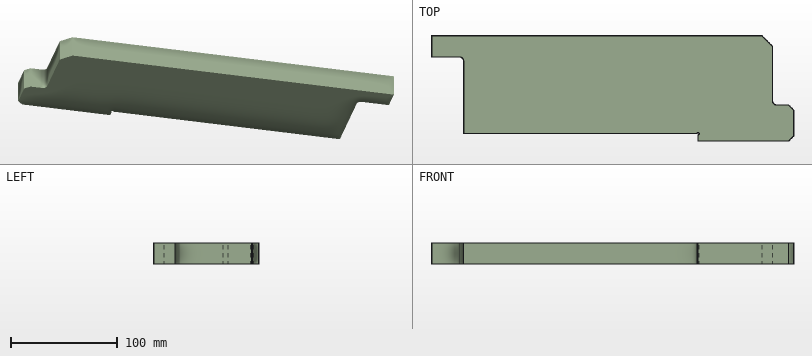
import cadquery as cq

length = 340.0
width = 99.0
thickness = 20.0

tongue_length = 30.0
tongue_width = 20.0

tab_length = 20.0
tab_width = 34.0
tab_chamfer = 5.0

pad_length = 90.0
pad_height = 7.0
relief_radius = 1.0

body_chamfer = 10.0
inner_corner_radius = 4.0

body_left = tongue_length
body_right = length - tab_length
tongue_front = width - tongue_width
pad_left = length - pad_length


def vertical_edge(solid, x, y):
    """Select the upright edge that passes through (x, y)."""
    return solid.edges(cq.selectors.NearestToPointSelector((x, y, thickness / 2)))


def make_plate():
    """Stepped plate with sharp corners."""
    outline = [
        (0, width),
        (0, tongue_front),
        (body_left, tongue_front),
        (body_left, pad_height),
        (pad_left, pad_height),
        (pad_left, 0),
        (length, 0),
        (length, tab_width),
        (body_right, tab_width),
        (body_right, width),
    ]
    return cq.Workplane("XY").polyline(outline).close().extrude(thickness)


def round_inner_corners(solid):
    """Fillet the inner corners beside the tongue and the tab."""
    for x, y in [(body_left, tongue_front), (body_right, tab_width)]:
        solid = vertical_edge(solid, x, y).fillet(inner_corner_radius)
    return solid


def chamfer_outer_corners(solid):
    """Bevel the back right corner of the body and both corners of the tab."""
    solid = vertical_edge(solid, body_right, width).chamfer(body_chamfer)
    for y in [0, tab_width]:
        solid = vertical_edge(solid, length, y).chamfer(tab_chamfer)
    return solid


def cut_corner_relief(solid):
    """Cut a round relief through the plate, centred on the inner corner of the pad."""
    relief = cq.Workplane("XY").center(pad_left, pad_height).circle(relief_radius).extrude(thickness)
    return solid.cut(relief)


plate = make_plate()
plate = round_inner_corners(plate)
plate = chamfer_outer_corners(plate)
result = cut_corner_relief(plate)